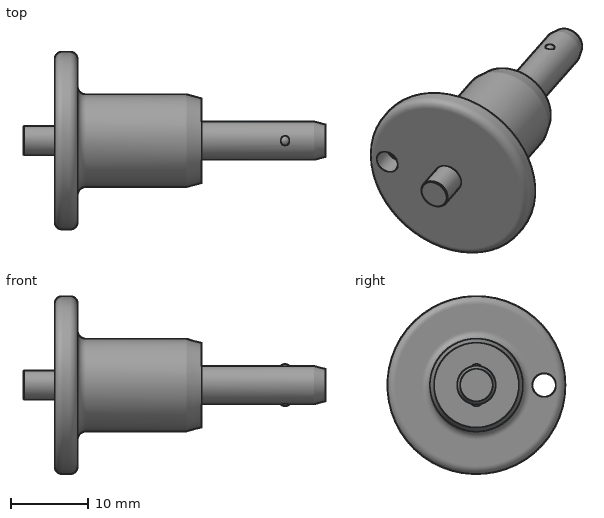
import cadquery as cq
import math

total_length = 39.0
button_length = 4.0
shank_length = 16.0
flange_start = button_length
shank_start = total_length - shank_length

flange_radius = 11.5
flange_thickness = 3.0
edge_radius = 1.0
sleeve_radius = 6.0
sleeve_taper_length = 2.0
taper_angle = 15.0
lanyard_hole_diameter = 3.0
lanyard_hole_offset = 8.75

button_radius = 1.9
button_chamfer = 0.1

shank_radius = 2.5
tip_taper_length = 1.5
bump_radius = 0.78
bump_height = 0.25
bump_from_tip = 5.23


def taper_drop(length):
    """Loss of radius over a tapered length."""
    return length * math.tan(math.radians(taper_angle))


def revolve_about_x(profile):
    return profile.close().revolve(360, (0, 0, 0), (1, 0, 0))


def make_handle():
    flange_end = flange_start + flange_thickness
    sleeve_end_radius = sleeve_radius - taper_drop(sleeve_taper_length)
    rim_radius = flange_radius - edge_radius
    profile = (
        cq.Workplane("XY")
        .moveTo(flange_start, 0)
        .lineTo(flange_start, rim_radius)
        .radiusArc((flange_start + edge_radius, flange_radius), edge_radius)
        .lineTo(flange_end - edge_radius, flange_radius)
        .radiusArc((flange_end, rim_radius), edge_radius)
        .lineTo(flange_end, sleeve_radius + edge_radius)
        .radiusArc((flange_end + edge_radius, sleeve_radius), -edge_radius)
        .lineTo(shank_start - sleeve_taper_length, sleeve_radius)
        .lineTo(shank_start, sleeve_end_radius)
        .lineTo(shank_start, 0)
    )
    lanyard_hole = (
        cq.Workplane("YZ", origin=(flange_start, lanyard_hole_offset, 0))
        .circle(lanyard_hole_diameter / 2)
        .extrude(flange_thickness)
    )
    return revolve_about_x(profile).cut(lanyard_hole)


def make_button():
    return (
        cq.Workplane("YZ")
        .circle(button_radius)
        .extrude(button_length)
        .faces("<X")
        .chamfer(button_chamfer)
    )


def make_shank():
    tip_radius = shank_radius - taper_drop(tip_taper_length)
    profile = (
        cq.Workplane("XY")
        .moveTo(shank_start, 0)
        .lineTo(shank_start, shank_radius)
        .lineTo(total_length - tip_taper_length, shank_radius)
        .lineTo(total_length, tip_radius)
        .lineTo(total_length, 0)
    )
    shank = revolve_about_x(profile)
    bump_x = total_length - bump_from_tip
    bump_center_height = shank_radius + bump_height - bump_radius
    for side in (1, -1):
        bump_center = (bump_x, 0, side * bump_center_height)
        shank = shank.union(cq.Workplane("XY", origin=bump_center).sphere(bump_radius))
    return shank


handle = make_handle()
button = make_button()
shank = make_shank()

result = cq.Compound.makeCompound([handle.val(), button.val(), shank.val()])